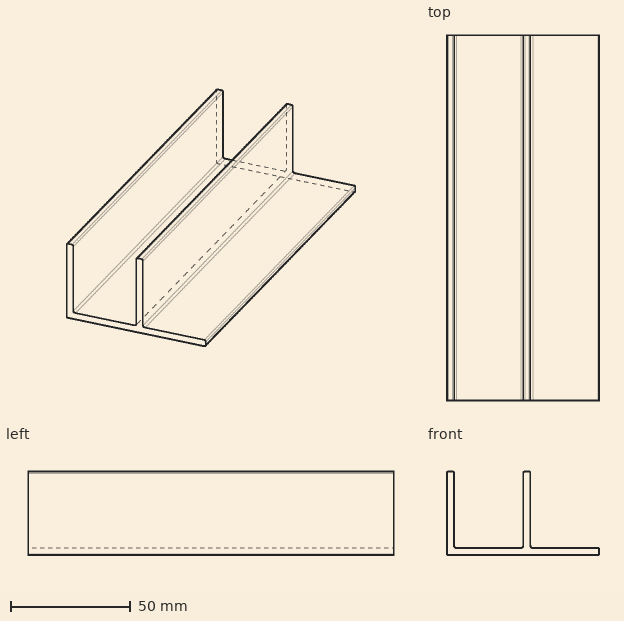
import cadquery as cq

width = 63.5
length = 152.4
height = 34.9

wall = 3.0
web_center = 33.4
root_radius = 0.9
edge_radius = 0.69

left = -width / 2
bottom = -height / 2


def plate(x, plate_width, plate_height):
    """Full-length plate standing on the bottom plane, starting at x."""
    return cq.Workplane("XY").box(
        plate_width, length, plate_height, centered=(False, True, False)
    ).translate((x, 0, bottom))


def lengthwise_edges(body, x, z):
    """The edge running along Y through the profile corner (x, z)."""
    reach = wall / 4
    return body.edges("|Y").edges(
        cq.selectors.BoxSelector(
            (x - reach, -length, z - reach),
            (x + reach, length, z + reach),
        )
    )


def round_corners(body, corners, radius):
    for x, z in corners:
        body = lengthwise_edges(body, x, z).fillet(radius)
    return body


web_left = web_center - wall / 2 + left
web_right = web_left + wall
base = plate(left, width, wall)
side_wall = plate(left, wall, height)
web = plate(web_left, wall, height)
profile = base.union(side_wall).union(web).clean()

base_top = bottom + wall
roots = [(x, base_top) for x in (left + wall, web_left, web_right)]
profile = round_corners(profile, roots, root_radius)

top = bottom + height
right = left + width
outer_corners = [
    (left, bottom),
    (right, bottom),
    (right, base_top),
]
wall_tips = [(x, top) for x in (left, left + wall, web_left, web_right)]
result = round_corners(profile, outer_corners + wall_tips, edge_radius)